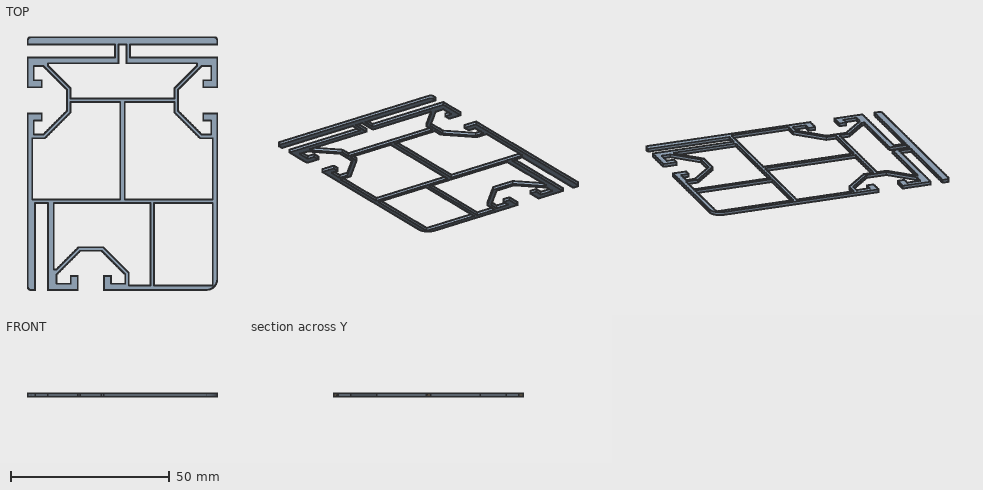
import cadquery as cq

WIDTH = 60.0
HEIGHT = 80.0
THICKNESS = 1.0

FIN = 2.4
FIN_GAP = 4.0
FLANGE = 1.9
OUTER_WALL = 1.5
CENTRE_WEB = 1.5
WEB = 1.2

SLOT_POSITION = 20.0
SLOT_MOUTH = 4.1
LIP = 2.3
LIP_DEPTH = 4.5
FACE_WALL = 2.0
SLOT_HALF = 10.8
SLOT_DEPTH = 12.4
SLOT_DIAGONAL_SUM = 15.75
ROOT_DEPTH = 6.5

STEM_GAP = 2.5
LOWER_CROSS_WEB_Y = 27.5
LOWER_UPRIGHT_X = 38.8

FIN_RADIUS = 1.0
OUTER_RADIUS = 3.5

CENTRE_X = WIDTH / 2
FLANGE_OFFSET = FIN + FIN_GAP
FLANGE_TOP = HEIGHT - FLANGE_OFFSET
SLOT_AXIS_X = SLOT_POSITION
SLOT_AXIS_Y = HEIGHT - SLOT_POSITION
FLANGE_ACROSS = SLOT_POSITION - FLANGE_OFFSET
SLOT_BACK = SLOT_DEPTH + WEB
LOWER_CROSS_WEB_TOP = LOWER_CROSS_WEB_Y + WEB


def plate(x0, y0, x1, y1):
    """Rectangle between two opposite corners, extruded through the full thickness."""
    return cq.Workplane("XY").box(x1 - x0, y1 - y0, THICKNESS, centered=False).translate((x0, y0, 0))


def extrude_outline(points):
    return cq.Workplane("XY").polyline(points).close().extrude(THICKNESS)




def slot_arch_outline(half_width, depth, diagonal_sum):
    """Straight-sided arch with 45 degree shoulders, standing on the slotted face."""
    shoulder = diagonal_sum - half_width
    half_roof = diagonal_sum - depth
    right = [(half_width, 0), (half_width, shoulder), (half_roof, depth)]
    left = [(-across, deep) for across, deep in reversed(right)]
    return right + left


def slot_body():
    """Solid arch around the slot, with the root that joins it to the flange."""
    outer_sum = SLOT_DIAGONAL_SUM + WEB * 2**0.5
    arch = extrude_outline(slot_arch_outline(SLOT_HALF + WEB, SLOT_BACK, outer_sum))
    return arch.union(plate(0, 0, FLANGE_ACROSS, ROOT_DEPTH))


def slot_void():
    """Cavity of the slot, leaving the face wall and the two lips."""
    cavity = extrude_outline(slot_arch_outline(SLOT_HALF, SLOT_DEPTH, SLOT_DIAGONAL_SUM))
    face = plate(SLOT_MOUTH, 0, SLOT_HALF, FACE_WALL)
    lip = plate(SLOT_MOUTH, 0, SLOT_MOUTH + LIP, LIP_DEPTH)
    hook = face.union(lip)
    return cavity.cut(hook).cut(hook.mirror("YZ"))


def on_bottom(shape):
    return shape.mirror("YZ").translate((SLOT_AXIS_X, 0, 0))


def on_right(shape):
    return shape.rotate((0, 0, 0), (0, 0, 1), 90).translate((WIDTH, SLOT_AXIS_Y, 0))


def on_left(shape):
    return on_right(shape).mirror("YZ", (CENTRE_X, 0, 0))


def top_bar():
    """Free bar along the top, rounded at its two upper corners."""
    bar = plate(0, HEIGHT - FIN, WIDTH, HEIGHT)
    return bar.edges("|Z and >Y").fillet(FIN_RADIUS)


def left_bar():
    """Left side up to the slot axis; its lower end is the free bar."""
    fin = plate(0, 0, FIN, LOWER_CROSS_WEB_TOP).edges("|Z and <X and <Y").fillet(FIN_RADIUS)
    return fin.union(plate(0, LOWER_CROSS_WEB_TOP, OUTER_WALL, SLOT_AXIS_Y))


def right_and_bottom_walls():
    """Outer walls meeting at the rounded lower right corner."""
    right = plate(WIDTH - OUTER_WALL, 0, WIDTH, SLOT_AXIS_Y)
    bottom = plate(SLOT_AXIS_X, 0, WIDTH, OUTER_WALL)
    return right.union(bottom).edges("|Z and >X and <Y").fillet(OUTER_RADIUS)


def top_flange():
    """Flange below the top bar, split at the middle and hung from two stems."""
    half_gap = STEM_GAP / 2
    flange = plate(half_gap, FLANGE_TOP - FLANGE, CENTRE_X, FLANGE_TOP)
    stem = plate(half_gap, FLANGE_TOP - FLANGE, half_gap + WEB, HEIGHT - FIN)
    right_half = flange.union(stem)
    return right_half.union(right_half.mirror("YZ")).translate((CENTRE_X, 0, 0))


def left_flange():
    return plate(FLANGE_OFFSET, 0, FLANGE_OFFSET + FLANGE, LOWER_CROSS_WEB_TOP)


def inner_webs():
    lower_cross = plate(0, LOWER_CROSS_WEB_Y, WIDTH, LOWER_CROSS_WEB_TOP)
    upper_cross = plate(SLOT_DEPTH, SLOT_AXIS_Y - WEB / 2, WIDTH - SLOT_DEPTH, SLOT_AXIS_Y + WEB / 2)
    half_web = CENTRE_WEB / 2
    upper_upright = plate(CENTRE_X - half_web, LOWER_CROSS_WEB_Y, CENTRE_X + half_web, SLOT_AXIS_Y)
    lower_upright = plate(LOWER_UPRIGHT_X, 0, LOWER_UPRIGHT_X + WEB, LOWER_CROSS_WEB_TOP)
    return lower_cross.union(upper_cross).union(upper_upright).union(lower_upright)


def build():
    part = top_bar()
    for section in (left_bar(), right_and_bottom_walls(), top_flange(), left_flange(), inner_webs()):
        part = part.union(section)
    placements = (on_left, on_right, on_bottom)
    for place in placements:
        part = part.union(place(slot_body()))
    for place in placements:
        part = part.cut(place(slot_void()))
    return part.clean()


result = build()